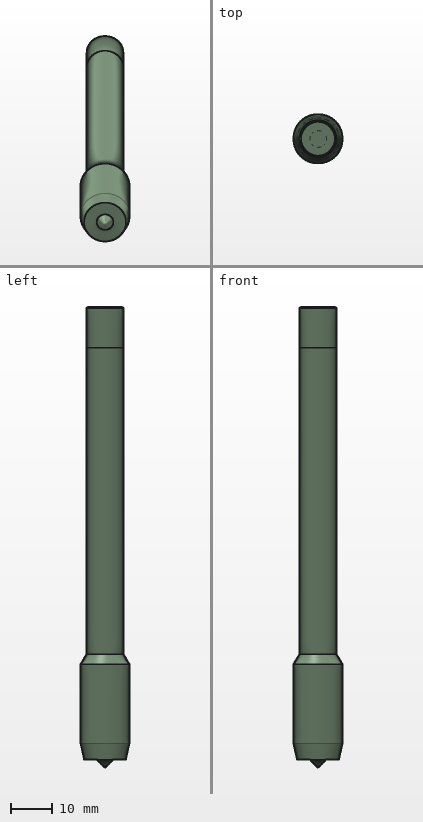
import cadquery as cq

total_length = 112.02
point_height = 2.02
point_radius = point_height
nose_radius = 5.1
nose_height = 4.0
head_radius = 6.0
head_length = 19.1
shoulder_height = 2.5
shank_radius = 4.5
cap_length = 10.0
cap_chamfer = 0.4

nose_face_z = point_height
nose_top_z = nose_face_z + nose_height
head_top_z = nose_top_z + head_length
shoulder_top_z = head_top_z + shoulder_height
cap_bottom_z = total_length - cap_length


def make_tool_body():
    """Turned body: sharp point, tapered nose, thick head, conical shoulder and long shank."""
    half_profile = (
        cq.Workplane("XZ")
        .lineTo(point_radius, nose_face_z)
        .lineTo(nose_radius, nose_face_z)
        .lineTo(head_radius, nose_top_z)
        .lineTo(head_radius, head_top_z)
        .lineTo(shank_radius, shoulder_top_z)
        .lineTo(shank_radius, cap_bottom_z)
        .lineTo(0, cap_bottom_z)
        .close()
    )
    return half_profile.revolve(360, (0, 0, 0), (0, 1, 0))


def make_end_cap():
    """Cap flush with the shank, seated on its flat end, with a chamfered top rim."""
    return (
        cq.Workplane("XY", origin=(0, 0, cap_bottom_z))
        .circle(shank_radius)
        .extrude(cap_length)
        .faces(">Z")
        .edges()
        .chamfer(cap_chamfer)
    )


tool_body = make_tool_body()
end_cap = make_end_cap()

result = cq.Compound.makeCompound([tool_body.val(), end_cap.val()])